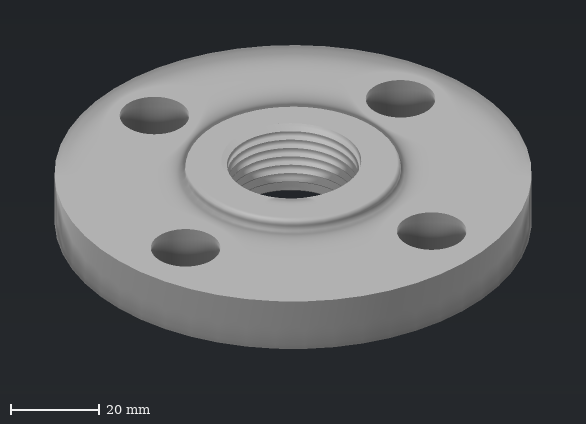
import cadquery as cq
import math

face_height = 1.6
flange_thickness = 12.7
hub_height = 3.0
flange_bottom = face_height
flange_top = flange_bottom + flange_thickness
total_height = flange_top + hub_height

flange_diameter = 107.9
raised_face_diameter = 51.2
hub_radius = 24.4
hub_fillet = hub_height / 2

bolt_count = 4
bolt_circle_diameter = 79.3
bolt_hole_diameter = 15.8

taper_slope = 1 / 32
crest_radius_top = 15.0
turns_through_part = 7.9
thread_pitch = total_height / turns_through_part
thread_depth = 1.7
crest_flat = 0.1
groove_width = thread_pitch - crest_flat
groove_overlap = 0.5
groove_end_angle = 165.0
turns_below_hub_face = math.ceil(turns_through_part) + 1
turns_above_hub_face = 1


def crest_radius(z):
    """Radius of the tapered bore at height z."""
    return crest_radius_top + (z - total_height) * taper_slope


def make_body():
    """Raised face, flange and filleted hub, turned about Z."""
    flange_radius = flange_diameter / 2
    face_radius = raised_face_diameter / 2
    fillet_meeting_z = flange_top + hub_fillet
    diagonal = hub_fillet * math.sqrt(0.5)
    foot_center = (hub_radius + hub_fillet, fillet_meeting_z)
    rim_center = (hub_radius - hub_fillet, fillet_meeting_z)
    return (
        cq.Workplane("XZ")
        .moveTo(0, 0)
        .lineTo(face_radius, 0)
        .lineTo(face_radius, flange_bottom)
        .lineTo(flange_radius, flange_bottom)
        .lineTo(flange_radius, flange_top)
        .lineTo(hub_radius + hub_fillet, flange_top)
        .threePointArc(
            (foot_center[0] - diagonal, foot_center[1] - diagonal),
            (hub_radius, fillet_meeting_z),
        )
        .threePointArc(
            (rim_center[0] + diagonal, rim_center[1] + diagonal),
            (hub_radius - hub_fillet, total_height),
        )
        .lineTo(0, total_height)
        .close()
        .revolve(360, (0, 0, 0), (0, 1, 0))
    )


def make_bolt_holes():
    """Cylinders that cut the bolt holes through the flange."""
    return (
        cq.Workplane("XY")
        .polarArray(bolt_circle_diameter / 2, 0, 360, bolt_count)
        .circle(bolt_hole_diameter / 2)
        .extrude(total_height)
    )


def make_bore():
    """Tapered bore that touches the thread crests."""
    return (
        cq.Workplane("XZ")
        .moveTo(0, 0)
        .lineTo(crest_radius(0), 0)
        .lineTo(crest_radius(total_height), total_height)
        .lineTo(0, total_height)
        .close()
        .revolve(360, (0, 0, 0), (0, 1, 0))
    )


def make_thread_groove():
    """Right-handed V groove that follows the taper and runs past both ends of the bore."""
    start_z = total_height - turns_below_hub_face * thread_pitch
    start_radius = crest_radius(start_z)
    helix = cq.Wire.makeHelix(
        thread_pitch,
        (turns_below_hub_face + turns_above_hub_face) * thread_pitch,
        start_radius,
        center=cq.Vector(0, 0, start_z),
        angle=math.degrees(math.atan(taper_slope)),
    )
    half_width = groove_width / 2
    groove = (
        cq.Workplane("XZ")
        .moveTo(start_radius - groove_overlap, start_z - half_width)
        .lineTo(start_radius, start_z - half_width)
        .lineTo(start_radius + thread_depth, start_z)
        .lineTo(start_radius, start_z + half_width)
        .lineTo(start_radius - groove_overlap, start_z + half_width)
        .close()
        .sweep(cq.Workplane("XY").add(helix), isFrenet=True)
    )
    return groove.rotate((0, 0, 0), (0, 0, 1), groove_end_angle)


result = make_body().cut(make_bolt_holes()).cut(make_bore()).cut(make_thread_groove())